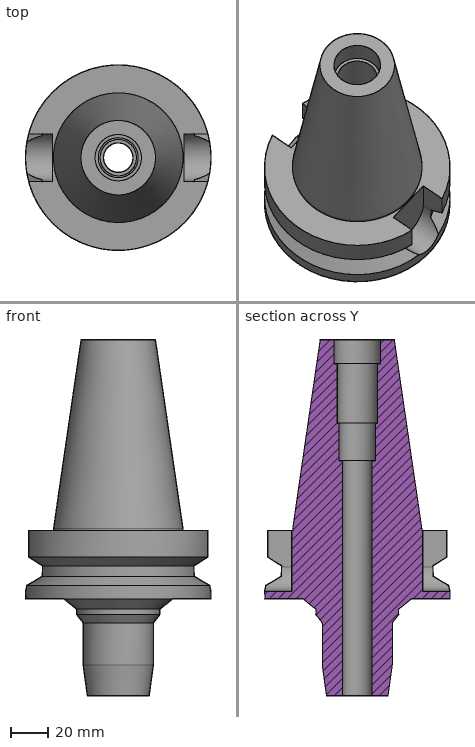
import cadquery as cq

total_height = 191.8
nose_cone_top = 16.7
neck_top = 39.3
collar_bottom = 43.7
collar_top = 46.6
flange_bottom = 52.2
lower_rim_top = 59.5
groove_bottom = 64.3
groove_top = 70.0
upper_rim_bottom = 74.6
flange_top = 89.0
gauge_line = 90.0

nose_radius = 16.7
neck_radius = 19.0
collar_radius = 22.5
hub_radius = 29.3
flange_radius = 100.0 / 2
groove_radius = 42.8
gauge_radius = 35.0
taper_ratio = 7 / 24
taper_end_radius = gauge_radius - (total_height - gauge_line) * taper_ratio / 2

through_radius = 7.9
bore_steps = [(12.5, 13.0), (10.7, 45.0), (9.8, 65.2)]

slot_width = 25.7
slot_bottom = 56.4
slot_floor_distance = 35.3


def make_body():
    """Revolve the tapered shank, grooved flange and nose about Z."""
    profile = [
        (0, 0),
        (nose_radius, 0),
        (neck_radius, nose_cone_top),
        (neck_radius, neck_top),
        (collar_radius, collar_bottom),
        (collar_radius, collar_top),
        (hub_radius, flange_bottom),
        (flange_radius, flange_bottom),
        (flange_radius, lower_rim_top),
        (groove_radius, groove_bottom),
        (groove_radius, groove_top),
        (flange_radius, upper_rim_bottom),
        (flange_radius, flange_top),
        (gauge_radius, flange_top),
        (gauge_radius, gauge_line),
        (taper_end_radius, total_height),
        (0, total_height),
    ]
    return cq.Workplane("XZ").polyline(profile).close().revolve(360, (0, 0), (0, 1))


def make_bore():
    """Through hole with coaxial counterbores from the taper end."""
    bore = cq.Workplane("XY").circle(through_radius).extrude(total_height)
    for radius, depth in bore_steps:
        step = cq.Workplane("XY").workplane(offset=total_height - depth).circle(radius).extrude(depth)
        bore = bore.union(step)
    return bore


def make_slot(side):
    """Round-bottomed drive slot, open at the flange top; side is -1 or +1 along X."""
    half_width = slot_width / 2
    arc_height = slot_bottom + half_width
    return (
        cq.Workplane("YZ")
        .workplane(offset=side * slot_floor_distance)
        .moveTo(-half_width, flange_top)
        .lineTo(-half_width, arc_height)
        .threePointArc((0, slot_bottom), (half_width, arc_height))
        .lineTo(half_width, flange_top)
        .close()
        .extrude(side * (flange_radius - slot_floor_distance))
    )


result = make_body().cut(make_bore())
for slot_side in (-1, 1):
    result = result.cut(make_slot(slot_side))